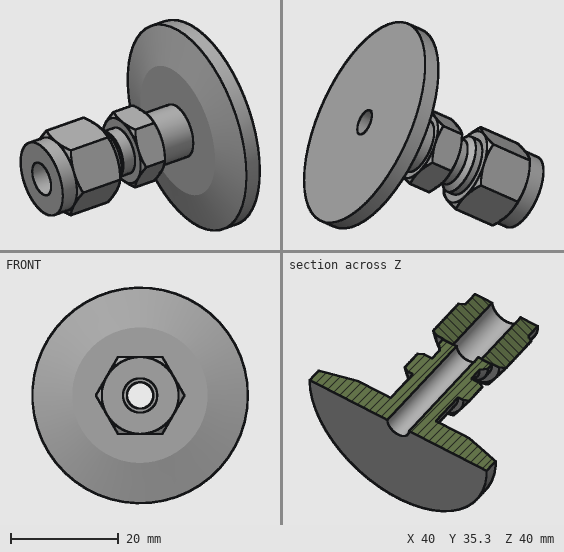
import cadquery as cq
import math

FLANGE_DIAMETER = 40.0
FLANGE_FACE_DIAMETER = 25.1
FLANGE_RIM_END = 3.0
FLANGE_END = 5.0
STEM_DIAMETER = 10.3
BODY_HEX_START = 12.1
BODY_HEX_END = 17.5
BODY_HEX_FLATS = 12.7
NECK_DIAMETER = 8.95
NECK_END = 20.1
COLLAR_DIAMETER = 11.1
BODY_BORE_DIAMETER = 4.85

COLLAR_CONE_END = NECK_END + (COLLAR_DIAMETER - NECK_DIAMETER) / 2

NUT_START = 22.6
NUT_HEX_END = 32.15
NUT_END = 35.3
NUT_FLATS = 14.25
NUT_BORE_DIAMETER = 6.35

HEX_CHAMFER_ANGLE = 30.0


def axial_plane(station):
    """Plane facing -Y, centred on the axis at the given station."""
    return cq.Workplane("XZ", origin=(0, -station, 0))


def cylinder(diameter, start, end):
    return axial_plane(start).circle(diameter / 2).extrude(end - start)


def revolve_profile(points):
    """Turn a closed (radius, station) outline about the Y axis."""
    outline = [(radius, -station) for radius, station in points]
    return cq.Workplane("XY").polyline(outline).close().revolve(360, (0, 0), (0, 1))


def chamfered_hex(flats, start, end):
    """Hexagon with corners on +/-X, its corners turned off conically at both ends."""
    corner_radius = flats / math.sqrt(3)
    face_radius = flats / 2
    chamfer = (corner_radius - face_radius) * math.tan(math.radians(HEX_CHAMFER_ANGLE))
    prism = axial_plane(start).polygon(6, 2 * corner_radius).extrude(end - start)
    envelope = revolve_profile([
        (0, start),
        (face_radius, start),
        (corner_radius, start + chamfer),
        (corner_radius, end - chamfer),
        (face_radius, end),
        (0, end),
    ])
    return prism.intersect(envelope)


def make_flanged_body():
    """Clamp flange, stem, wrench hexagon, neck and collar with a through bore."""
    turned = revolve_profile([
        (0, 0),
        (FLANGE_DIAMETER / 2, 0),
        (FLANGE_DIAMETER / 2, FLANGE_RIM_END),
        (FLANGE_FACE_DIAMETER / 2, FLANGE_END),
        (STEM_DIAMETER / 2, FLANGE_END),
        (STEM_DIAMETER / 2, BODY_HEX_START),
        (NECK_DIAMETER / 2, BODY_HEX_START),
        (NECK_DIAMETER / 2, NECK_END),
        (COLLAR_DIAMETER / 2, COLLAR_CONE_END),
        (COLLAR_DIAMETER / 2, NUT_START),
        (0, NUT_START),
    ])
    wrench_hex = chamfered_hex(BODY_HEX_FLATS, BODY_HEX_START, BODY_HEX_END)
    bore = cylinder(BODY_BORE_DIAMETER, 0, NUT_START)
    return turned.union(wrench_hex).cut(bore)


def make_nut():
    """Hexagon nut with a round nose, seated against the collar."""
    nut_hex = chamfered_hex(NUT_FLATS, NUT_START, NUT_HEX_END)
    nose = cylinder(NUT_FLATS, NUT_HEX_END, NUT_END)
    bore = cylinder(NUT_BORE_DIAMETER, NUT_START, NUT_END)
    return nut_hex.union(nose).cut(bore)


flanged_body = make_flanged_body()
nut = make_nut()

result = cq.Compound.makeCompound([flanged_body.val(), nut.val()])